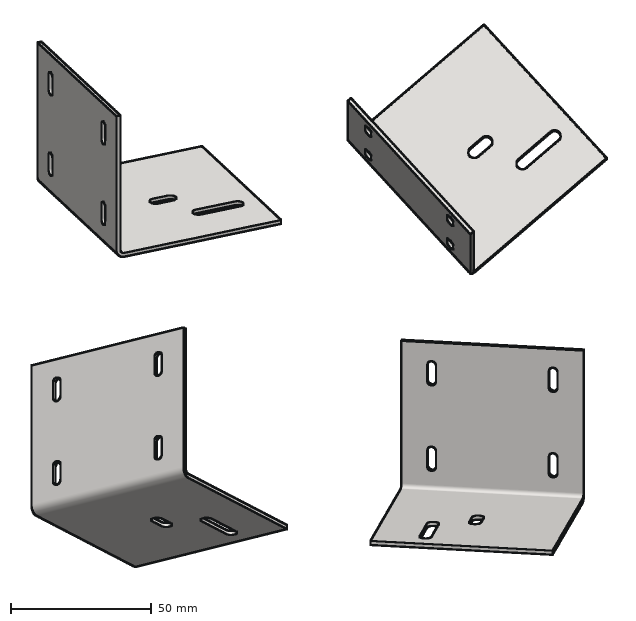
import cadquery as cq

width = 66.0
depth = 65.0
height = 56.55
thickness = 1.6
inner_bend_radius = 1.5
outer_bend_radius = inner_bend_radius + thickness

wall_slot_width = 3.2
wall_slot_length = 9.0
wall_slot_spacing_x = 44.0
wall_slot_spacing_z = 32.0
lower_wall_slot_z = 13.0

base_slot_width = 4.2
center_slot_length = 10.0
center_slot_from_back = 31.0
side_slot_length = 19.6
side_slot_from_back = 16.2
side_slot_x = 14.5


def bent_sheet():
    """L-shaped sheet with its wall face at Y = 0 and its underside at Z = 0."""
    section = (
        cq.Workplane("YZ", origin=(-width / 2, 0, 0))
        .polyline([
            (0, 0),
            (depth, 0),
            (depth, thickness),
            (thickness, thickness),
            (thickness, height),
            (0, height),
        ])
        .close()
    )
    sheet = section.extrude(width)
    inner_corner = cq.selectors.NearestToPointSelector((0, thickness, thickness))
    outer_corner = cq.selectors.NearestToPointSelector((0, 0, 0))
    sheet = sheet.edges(inner_corner).fillet(inner_bend_radius)
    return sheet.edges(outer_corner).fillet(outer_bend_radius)


def wall_slots():
    """Cutters for the rectangular pattern of slots through the wall."""
    pattern_center_z = lower_wall_slot_z + wall_slot_spacing_z / 2
    return (
        cq.Workplane("XZ", origin=(0, 0, pattern_center_z))
        .rarray(wall_slot_spacing_x, wall_slot_spacing_z, 2, 2)
        .slot2D(wall_slot_length, wall_slot_width, 90)
        .extrude(-thickness)
    )


def base_slot(center_x, from_back, length):
    """Cutter for one slot through the base."""
    return (
        cq.Workplane("XY")
        .center(center_x, depth - from_back)
        .slot2D(length, base_slot_width, 90)
        .extrude(thickness)
    )


result = (
    bent_sheet()
    .cut(wall_slots())
    .cut(base_slot(0, center_slot_from_back, center_slot_length))
    .cut(base_slot(side_slot_x, side_slot_from_back, side_slot_length))
)